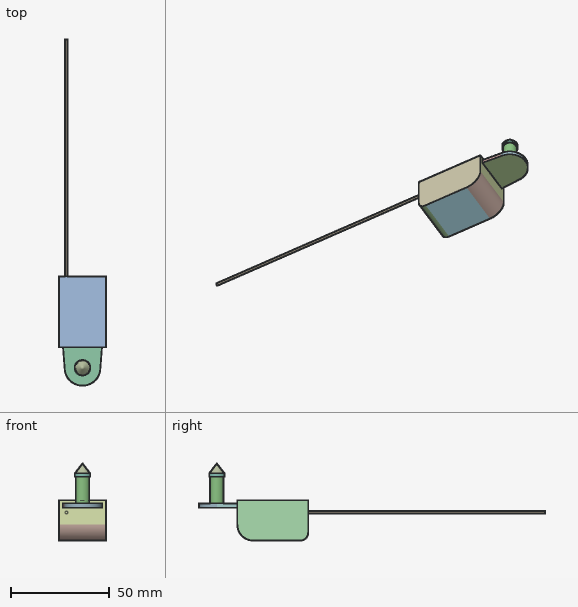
import cadquery as cq

housing_width = 24.0
housing_length = 35.9
housing_height = 20.5
front_bottom_radius = 8.0
rear_bottom_radius = 4.0

tongue_root_width = 19.8
tongue_end_radius = 9.1
tongue_reach = 19.5
tongue_drop = 1.5
tongue_thickness = 2.3

pin_diameter = 7.0
collar_diameter = 7.9
collar_bottom_z = 11.7
collar_height = 1.8
tip_z = 18.5

total_length = 175.0
rod_diameter = 1.4
rod_x = -8.2
rod_z = -6.1

pin_y = tongue_end_radius - tongue_reach
tongue_top_z = -tongue_drop


def make_housing():
    block = cq.Workplane("XY").box(
        housing_width, housing_length, housing_height, centered=(True, False, False)
    )
    block = block.translate((0, 0, -housing_height))
    block = block.edges("<Y and <Z").fillet(front_bottom_radius)
    return block.edges(">Y and <Z").fillet(rear_bottom_radius)


def make_tongue():
    half_root = tongue_root_width / 2
    return (
        cq.Workplane("XY")
        .workplane(offset=tongue_top_z)
        .moveTo(half_root, 0)
        .lineTo(tongue_end_radius, pin_y)
        .threePointArc((0, -tongue_reach), (-tongue_end_radius, pin_y))
        .lineTo(-half_root, 0)
        .close()
        .extrude(-tongue_thickness)
    )


def make_pin():
    pin_radius = pin_diameter / 2
    collar_radius = collar_diameter / 2
    collar_top_z = collar_bottom_z + collar_height
    bottom_z = tongue_top_z - tongue_thickness
    profile = [
        (0, bottom_z),
        (pin_radius, bottom_z),
        (pin_radius, collar_bottom_z),
        (collar_radius, collar_bottom_z),
        (collar_radius, collar_top_z),
        (0, tip_z),
    ]
    pin = cq.Workplane("XZ").polyline(profile).close().revolve(360, (0, 0, 0), (0, 1, 0))
    return pin.translate((0, pin_y, 0))


def make_rod():
    rod_length = total_length - tongue_reach - housing_length
    return (
        cq.Workplane("XZ", origin=(0, housing_length, 0))
        .center(rod_x, rod_z)
        .circle(rod_diameter / 2)
        .extrude(-rod_length)
    )


result = make_housing().union(make_tongue()).union(make_pin()).union(make_rod())